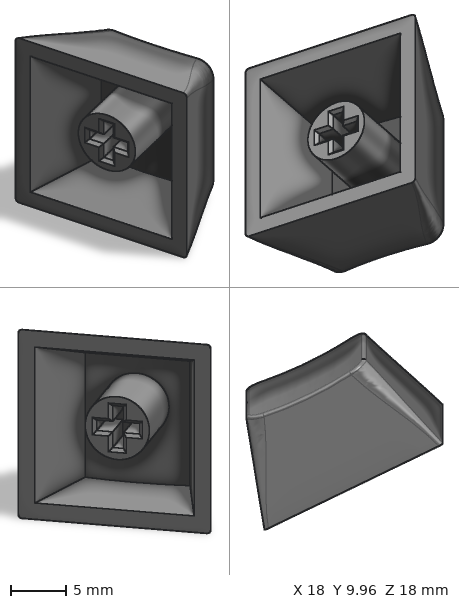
import cadquery as cq


BASE = 18.0
HEIGHT = 9.95
SIDE_INSET = 3.02
UPPER_INSET = 3.42
SIDE_LEAN = SIDE_INSET / HEIGHT
UPPER_LEAN = UPPER_INSET / HEIGHT
BASE_CORNER = 0.4
TOP_CORNER = 1.75
SECTIONS = 9
RIM_FILLET = 0.32

DISH_LOW = 9.49
DISH_RADIUS = 35.28

OPENING = 14.85
TOP_THICKNESS = 1.5
CAVITY_UPPER_LEAN = 0.36

STEM_DIAMETER = 6.0
STEM_RECESS = 1.0
CROSS_SPAN = 4.0
CROSS_ARM = 1.0
CROSS_DEPTH = 4.0
LEAD_IN = 0.32
LEAD_IN_DEPTH = 0.32

BLANK_HEIGHT = HEIGHT + 0.9


def section(side, side_lean, upper_lean, height, corner=0.0):
    """Rectangular wire at a given height, with its lower wall fixed at Z = -side / 2."""
    half_width = side / 2 - side_lean * height
    upper = side / 2 - upper_lean * height
    lower = -side / 2
    plane = cq.Plane(origin=(0, height, 0), xDir=(1, 0, 0), normal=(0, 1, 0))
    face = cq.Face.makeFromWires(
        cq.Workplane(plane)
        .center(0, -(upper + lower) / 2)
        .rect(2 * half_width, upper - lower)
        .val()
    )
    if corner:
        face = face.fillet2D(corner, face.Vertices())
    return face.outerWire()


def corner_radius(height):
    """Corner radius growing in a smooth S-curve from skirt to top."""
    t = min(height / HEIGHT, 1.0)
    return BASE_CORNER + (TOP_CORNER - BASE_CORNER) * t * t * (3 - 2 * t)


def under_dish(depth=0.0):
    """Everything on the skirt side of the dish surface offset by depth into the part."""
    radius = DISH_RADIUS + depth
    axis_height = DISH_LOW + DISH_RADIUS
    cylinder = cq.Workplane("XY", origin=(0, axis_height, -BASE)).circle(radius).extrude(2 * BASE)
    slab = cq.Workplane("XY", origin=(0, BLANK_HEIGHT / 2, 0)).box(2 * BASE, BLANK_HEIGHT, 2 * BASE)
    return slab.cut(cylinder)


def outer_shell():
    heights = [BLANK_HEIGHT * i / (SECTIONS - 1) for i in range(SECTIONS)]
    wires = [section(BASE, SIDE_LEAN, UPPER_LEAN, h, corner_radius(h)) for h in heights]
    blank = cq.Workplane(cq.Solid.makeLoft(wires))
    dished = blank.intersect(under_dish())
    return dished.faces("%CYLINDER").edges().fillet(RIM_FILLET)


def cavity():
    wires = [section(OPENING, SIDE_LEAN, CAVITY_UPPER_LEAN, h) for h in (0, BLANK_HEIGHT)]
    blank = cq.Workplane(cq.Solid.makeLoft(wires, True))
    return blank.intersect(under_dish(TOP_THICKNESS))


def stem():
    length = DISH_LOW - TOP_THICKNESS / 2 - STEM_RECESS
    return (
        cq.Workplane("XZ", origin=(0, STEM_RECESS, 0))
        .circle(STEM_DIAMETER / 2)
        .extrude(-length)
    )


def cross_wire(span, arm, height):
    """Plus-shaped outline at a given height."""
    s, a = span / 2, arm / 2
    outline = [
        (s, -a), (s, a), (a, a), (a, s), (-a, s), (-a, a),
        (-s, a), (-s, -a), (-a, -a), (-a, -s), (a, -s), (a, -a),
    ]
    return cq.Wire.makePolygon([cq.Vector(x, height, z) for x, z in outline], close=True)


def socket():
    mouth = cross_wire(CROSS_SPAN + 2 * LEAD_IN, CROSS_ARM + 2 * LEAD_IN, STEM_RECESS)
    throat = cross_wire(CROSS_SPAN, CROSS_ARM, STEM_RECESS + LEAD_IN_DEPTH)
    floor = cross_wire(CROSS_SPAN, CROSS_ARM, STEM_RECESS + CROSS_DEPTH)
    lead_in = cq.Workplane(cq.Solid.makeLoft([mouth, throat], True))
    return lead_in.union(cq.Workplane(cq.Solid.makeLoft([throat, floor], True)))


result = outer_shell().cut(cavity()).union(stem()).cut(socket())